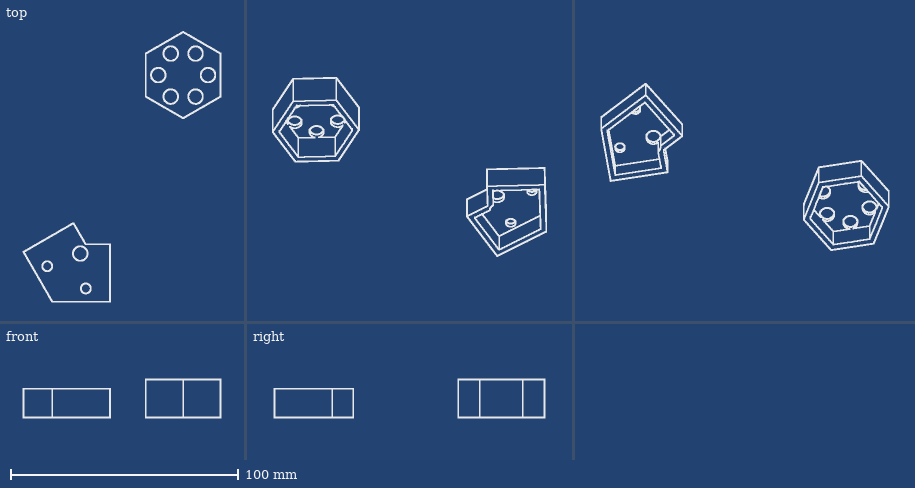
import cadquery as cq
import math

wall = 2.5

arm_side = 25.4
arm_angle = 30.0
block_height = arm_side / 2
small_hole_diameter = 4.3
small_hole_x = 14.7
small_hole_y = 6.0
large_hole_diameter = 6.3
large_hole_reach = 24.6
symmetry_angle = (90.0 + arm_angle) / 2

overall_x = 86.8
overall_y = 118.9
hex_sides = 6
hex_half_step = 180.0 / hex_sides
hex_radius = 19.0
hex_height = 16.9
hex_hole_circle_radius = 10.9
block_left_x = -arm_side * math.sin(math.radians(arm_angle))
hex_center_x = block_left_x + overall_x - hex_radius * math.cos(math.radians(hex_half_step))
hex_center_y = overall_y - hex_radius


def polar_point(radius, angle):
    """Point at a radius and an angle in degrees from the X axis."""
    return (radius * math.cos(math.radians(angle)), radius * math.sin(math.radians(angle)))


def mirrored_point(x, y):
    """Reflection of a point across the angled block's symmetry axis."""
    return polar_point(math.hypot(x, y), 2 * symmetry_angle - math.degrees(math.atan2(y, x)))


def angled_prism(inset, height):
    """Prism over the outline of the two fanned squares, moved inward by an inset."""
    notch = polar_point(arm_side / math.cos(math.radians(90 - symmetry_angle)), symmetry_angle)
    right_corners = [(arm_side, 0), (arm_side, arm_side)]
    left_corners = [mirrored_point(*corner) for corner in reversed(right_corners)]
    outline = cq.Workplane("XY").polyline([(0, 0), *right_corners, notch, *left_corners]).close()
    if inset > 0:
        outline = outline.offset2D(-inset, "intersection")
    return outline.extrude(height)


def make_angled_block():
    """Angled cup, open at the bottom, with three holes running its full height."""
    small_hole = (small_hole_x, small_hole_y)
    small_holes = (
        cq.Workplane("XY")
        .pushPoints([small_hole, mirrored_point(*small_hole)])
        .circle(small_hole_diameter / 2)
        .extrude(block_height)
    )
    large_hole = (
        cq.Workplane("XY")
        .pushPoints([polar_point(large_hole_reach, symmetry_angle)])
        .circle(large_hole_diameter / 2)
        .extrude(block_height)
    )
    cup = angled_prism(0, block_height).cut(angled_prism(wall, block_height - wall))
    return cup.cut(small_holes).cut(large_hole)


def hex_prism(radius, height):
    """Hexagonal prism about the Z axis, with two corners on the Y direction."""
    corners = [polar_point(radius, 90 + 2 * hex_half_step * i) for i in range(hex_sides)]
    return cq.Workplane("XY").polyline(corners).close().extrude(height)


def make_hex_block():
    """Hexagonal cup, open at the bottom, with a ring of holes that also groove the side walls."""
    cavity_radius = hex_radius - wall / math.cos(math.radians(hex_half_step))
    cavity = hex_prism(cavity_radius, hex_height - wall)
    holes = (
        cq.Workplane("XY")
        .polarArray(hex_hole_circle_radius, 0, 360, hex_sides)
        .circle(large_hole_diameter / 2)
        .extrude(hex_height)
    )
    cup = hex_prism(hex_radius, hex_height).cut(cavity).cut(holes)
    return cup.translate((hex_center_x, hex_center_y, 0))


angled_block = make_angled_block()
hex_block = make_hex_block()

result = cq.Compound.makeCompound([angled_block.solids().val(), hex_block.solids().val()])